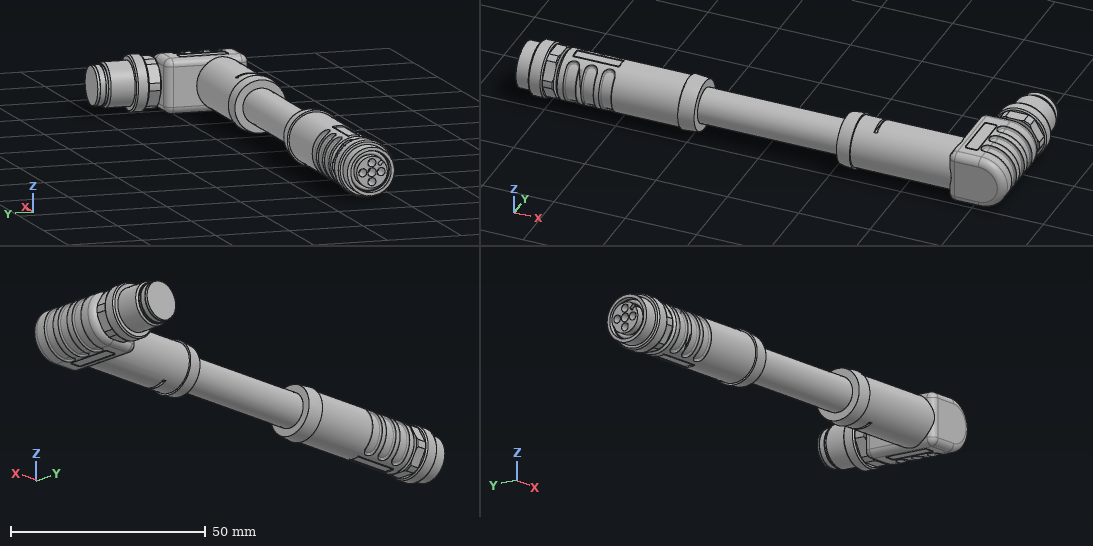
import cadquery as cq
import math

overall_length = 138.5
ring_d = 15.0
body_d = 14.0
cable_d = 9.7
neck_d = 9.7
elbow_axis_x = overall_length - ring_d / 2
male_tip_y = 32.7

overlap = 1.0

ring_chamfer = 0.4
nut_flats = 13.0
nut_corner_d = 14.0
nut_chamfer = 0.3

sleeve_front_x = 0.8
ring_front_x = 4.6
ring_back_x = 8.5
nut_back_x = 11.5
body_front_x = 12.1
sleeve_d = 12.8
sleeve_bore_d = 10.95
seal_outer_d = 10.5
insert_d = 8.3
seal_front_gap = 1.0
contact_hole_d = 2.12
center_hole_d = 2.3
contact_circle_d = 5.0
contact_count = 4
contact_depth = 5.0
key_width = 0.9
key_inner_r = 2.7
key_angle = 135
body_chamfer = 0.6

groove_width = 3.5
groove_pitch = 5.0
groove_count = 3
groove_floor_d = 12.8
groove_floor_fillet = 0.35
first_groove_x = 16.05
groove_tip_y = 2.9
label_length = 13.0
label_width = 3.0
label_start_x = 14.7
label_floor_z = 6.6

collar_end_r = body_d / 2
straight_collar_x = 46.7
straight_end_x = 51.1
elbow_start_x = 91.0
elbow_collar_x = 94.9

slit_x = 100.5
slit_width = 0.8
slit_floor_z = 6.0
block_half_height = 7.3
block_left_x = 122.3
block_top_y = 15.3
block_fillet = 2.0
block_groove_first_y = -1.0
block_groove_pitch = 5.05
block_groove_tip_x = 129.2
block_groove_width = 3.2
block_groove_depth = 0.6
block_groove_floor_fillet = 0.3
block_label_width = 3.5
block_label_length = 13.1
block_label_x = 126.95
block_label_y = 3.85
block_label_depth = 0.2
block_label_fillet = 0.5

male_nut_y = 16.0
male_ring_y = 19.3
male_sleeve_y = 22.8
male_shoulder_y = 29.8
male_sleeve_d = 12.0
male_shoulder_chamfer = 0.5
male_tip_d = 10.8
male_tip_reduced_d = 10.5
male_tip_groove_width = 0.6
male_tip_step_y = 32.0


def cylinder_x(diameter, start, end):
    """Round bar along the X axis."""
    return cq.Workplane("YZ").workplane(offset=start).circle(diameter / 2).extrude(end - start)


def turned_x(points):
    """Solid of revolution about X; points are (x, radius) and the axis closes the outline."""
    outline = [(points[0][0], 0)] + points + [(points[-1][0], 0)]
    return cq.Workplane("XY").polyline(outline).close().revolve(360, (0, 0, 0), (1, 0, 0))


def coupling_ring(start, end):
    return cylinder_x(ring_d, start, end).faces("<X or >X").chamfer(ring_chamfer)


def hex_nut(start, end, chamfered_face):
    """Hexagon with flats facing Z and turned corners; one end is chamfered."""
    across_corners = nut_flats / math.cos(math.radians(30))
    hexagon = (
        cq.Workplane("YZ").workplane(offset=start).polygon(6, across_corners).extrude(end - start)
    )
    blank = cylinder_x(nut_corner_d, start, end).faces(chamfered_face).chamfer(nut_chamfer)
    return hexagon.intersect(blank)


def collar(wide_x, narrow_x):
    """Rounded strain-relief collar, full ring diameter at wide_x and easing down to narrow_x."""
    wide_r = ring_d / 2
    middle = ((wide_x + narrow_x) / 2, wide_r - (wide_r - collar_end_r) / 4)
    return (
        cq.Workplane("XY")
        .moveTo(wide_x, 0)
        .lineTo(wide_x, wide_r)
        .threePointArc(middle, (narrow_x, collar_end_r))
        .lineTo(narrow_x, 0)
        .close()
        .revolve(360, (0, 0, 0), (1, 0, 0))
    )


def rounded_groove(width, length, height):
    """Plan-shaped cutter running along +X from a half-round tip at the origin."""
    radius = width / 2
    return (
        cq.Workplane("XY")
        .moveTo(length, radius)
        .lineTo(radius, radius)
        .threePointArc((0, 0), (radius, -radius))
        .lineTo(length, -radius)
        .close()
        .extrude(height / 2, both=True)
    )


def socket_face():
    """Cutters for the ring gap down to the O-ring, and for the contact holes with the key slot."""
    seal_minor_r = (seal_outer_d - insert_d) / 4
    seal_major_r = (seal_outer_d + insert_d) / 4
    seal_x = sleeve_front_x + seal_front_gap + seal_minor_r
    bore = cylinder_x(sleeve_bore_d, sleeve_front_x, seal_x)
    gap = bore.cut(cylinder_x(insert_d, sleeve_front_x, seal_x))
    seal_center = cq.Vector(seal_x, 0, 0)
    seal = cq.Solid.makeTorus(seal_major_r, seal_minor_r, seal_center, cq.Vector(1, 0, 0))
    gap = gap.cut(cq.Workplane(seal))
    holes = (
        cq.Workplane("YZ")
        .polarArray(contact_circle_d / 2, 0, 360, contact_count)
        .circle(contact_hole_d / 2)
        .extrude(contact_depth)
    )
    center_hole = cylinder_x(center_hole_d, 0, contact_depth)
    key_length = insert_d / 2 - key_inner_r
    key = (
        cq.Workplane("XY")
        .box(contact_depth, key_length, key_width, centered=(False, False, True))
        .translate((0, key_inner_r, 0))
        .rotate((0, 0, 0), (1, 0, 0), key_angle)
    )
    return gap, holes.union(center_hole).union(key)


def straight_grip():
    """Moulded body with three wrap-around grooves on each side and label recesses."""
    body = cylinder_x(body_d, body_front_x, straight_collar_x).faces("<X").chamfer(body_chamfer)
    core = cylinder_x(groove_floor_d, body_front_x, straight_collar_x)
    for index in range(groove_count):
        x = first_groove_x + index * groove_pitch
        for side in (1, -1):
            groove = (
                rounded_groove(groove_width, body_d, ring_d + 2 * overlap)
                .rotate((0, 0, 0), (0, 0, 1), 90 * side)
                .translate((x, side * groove_tip_y, 0))
                .cut(core)
            )
            floor = cq.NearestToPointSelector((x, side * groove_floor_d / math.pi, 0))
            groove = groove.faces(floor).edges().fillet(groove_floor_fillet)
            body = body.cut(groove)
    for side in (1, -1):
        recess = cq.Workplane("XY").box(label_length, label_width, overlap).translate(
            (label_start_x + label_length / 2, 0, side * (label_floor_z + overlap / 2))
        )
        body = body.cut(recess)
    return body


def straight_socket():
    part = cylinder_x(insert_d, 0, sleeve_front_x + overlap)
    part = part.union(cylinder_x(sleeve_d, sleeve_front_x, ring_front_x))
    part = part.union(coupling_ring(ring_front_x, ring_back_x))
    part = part.union(hex_nut(ring_back_x, nut_back_x, ">X"))
    part = part.union(cylinder_x(neck_d, nut_back_x, body_front_x))
    part = part.union(straight_grip())
    part = part.union(collar(straight_collar_x, straight_end_x))
    for cavity in socket_face():
        part = part.cut(cavity)
    return part


def block_outline(half_height, length, start_y):
    """D-shaped bar along Y: flat towards the cable, half round on the outside."""
    return (
        cq.Workplane("XZ", origin=(0, start_y, 0))
        .moveTo(block_left_x, -half_height)
        .lineTo(elbow_axis_x, -half_height)
        .threePointArc((elbow_axis_x + half_height, 0), (elbow_axis_x, half_height))
        .lineTo(block_left_x, half_height)
        .close()
        .extrude(-length)
    )


def elbow_block():
    length = block_top_y + block_half_height
    block = block_outline(block_half_height, length, -block_half_height).edges().fillet(block_fillet)
    core = block_outline(block_half_height - block_groove_depth, length, -block_half_height)
    for index in range(groove_count):
        y = block_groove_first_y + index * block_groove_pitch
        groove = rounded_groove(block_groove_width, ring_d, ring_d + 2 * overlap)
        groove = groove.translate((block_groove_tip_x, y, 0)).cut(core)
        floor = cq.NearestToPointSelector((elbow_axis_x + block_half_height / 2, y, 0))
        groove = groove.faces(floor).edges("not |Y").fillet(block_groove_floor_fillet)
        block = block.cut(groove)
    label = (
        cq.Workplane("XY")
        .workplane(offset=block_half_height - block_label_depth)
        .center(block_label_x, block_label_y)
        .rect(block_label_width, block_label_length)
        .extrude(overlap)
        .edges("|Z")
        .fillet(block_label_fillet)
    )
    return block.cut(label).cut(label.mirror("XY"))


def elbow_tube():
    slit_height = body_d / 2 - slit_floor_z + overlap
    tube = cylinder_x(body_d, elbow_collar_x, elbow_axis_x - block_fillet)
    tube = tube.union(collar(elbow_collar_x, elbow_start_x))
    for side in (1, -1):
        slit = cq.Workplane("XY").box(slit_width, body_d, slit_height).translate(
            (slit_x, 0, side * (slit_floor_z + slit_height / 2))
        )
        tube = tube.cut(slit)
    return tube


def male_plug():
    """Built along X from the cable axis outwards, then turned to point along +Y."""
    part = cylinder_x(neck_d, block_top_y - overlap, male_nut_y)
    part = part.union(hex_nut(male_nut_y, male_ring_y, "<X"))
    part = part.union(coupling_ring(male_ring_y, male_sleeve_y))
    groove_end = male_shoulder_y + male_tip_groove_width
    tip = turned_x([
        (male_sleeve_y, male_sleeve_d / 2),
        (male_shoulder_y - male_shoulder_chamfer, male_sleeve_d / 2),
        (male_shoulder_y, male_sleeve_d / 2 - male_shoulder_chamfer),
        (male_shoulder_y, male_tip_reduced_d / 2),
        (groove_end, male_tip_reduced_d / 2),
        (groove_end, male_tip_d / 2),
        (male_tip_step_y, male_tip_d / 2),
        (male_tip_step_y, male_tip_reduced_d / 2),
        (male_tip_y, male_tip_reduced_d / 2),
    ])
    part = part.union(tip)
    return part.rotate((0, 0, 0), (0, 0, 1), 90).translate((elbow_axis_x, 0, 0))


result = (
    straight_socket()
    .union(cylinder_x(cable_d, straight_end_x, elbow_start_x))
    .union(elbow_tube())
    .union(elbow_block())
    .union(male_plug())
)